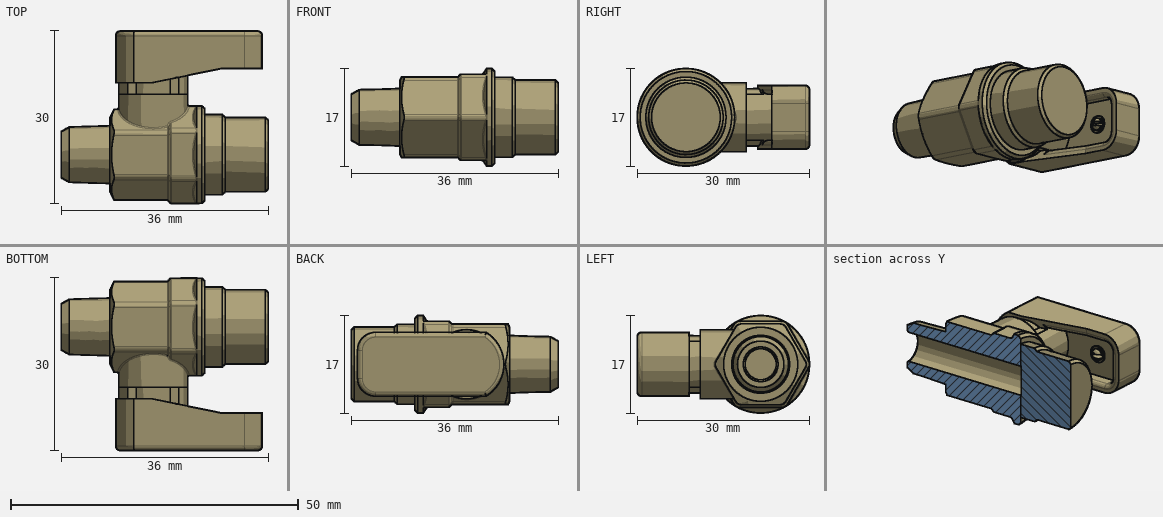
import cadquery as cq
import math


spigot_tip_radius = 4.05
spigot_tip_length = 1.4
spigot_front_radius = 4.82
spigot_back_radius = 5.05
bore_radius = 2.7
bore_chamfer = 0.32
casting_fillet = 0.25
tolerance = 0.007

hex_start = 8.45
small_hex_flats = 14.0
small_hex_face_radius = 6.45
small_hex_chamfer_length = 0.83
step_start = 18.5
large_hex_flats = 15.0
hex_edge_radius = 1.1
step_end = step_start + (large_hex_flats - small_hex_flats) / 2

flange_radius = 8.5
flange_cone_start = 22.55
flange_cone_radius = 7.0
flange_start = 23.5
flange_end = 25.0
flange_chamfer = 0.55

neck_x = 16.0
neck_radius = 6.0
neck_top = 10.5

connector_end = 36.0
collar_radius = 7.0
collar_end = 28.5
collar_chamfer = 0.55
thread_radius = 6.48
thread_chamfer = 0.5

handle_bottom = 12.45
handle_top = 21.5
grip_bottom = 14.95
ramp_start = 15.55
ramp_end = 27.8
handle_end = 34.92
handle_half_width = 5.55
handle_round_radius = 6.5
handle_corner_radius = 3.15
handle_top_fillet = 0.8
cavity_ceiling = 17.42
cavity_wall = 1.5
cavity_rim_fillet = 0.72
hub_radius = 6.0
hub_core_radius = 5.0
hub_half_flats = handle_half_width - cavity_wall

screw_x = 28.35
screw_recess_radius = 1.5
screw_recess_depth = 0.18
screw_seat_depth = 1.8
screw_radius = 1.08
screw_rim_drop = 0.18
screw_dome_height = 0.8
slot_width = 0.72
slot_depth = 1.8
slot_angle = 5.0


def revolve_about_x(points):
    """Solid of revolution about the flow axis from (x, radius) points."""
    return cq.Workplane("XY").polyline(points).close().revolve(360, (0, 0, 0), (1, 0, 0))


def around_x(x):
    """Selector for the edges of the hexagons that lie at one place along X."""
    return cq.selectors.BoxSelector(
        (x - tolerance, -flange_radius, -flange_radius),
        (x + tolerance, flange_radius, flange_radius),
    )


def plane_at_y(y, x=0.0):
    """Workplane normal to +Y; its local axes are +X and -Z."""
    return cq.Workplane(cq.Plane(origin=(x, y, 0), xDir=(1, 0, 0), normal=(0, 1, 0)))


def hex_bar(across_flats, start, end):
    """Hexagonal bar along X with rounded edges, two of its flats facing +Z and -Z."""
    return (
        cq.Workplane("YZ", origin=(start, 0, 0))
        .polygon(6, across_flats / math.cos(math.pi / 6))
        .extrude(end - start)
        .edges("|X")
        .fillet(hex_edge_radius)
    )


def make_hexes():
    """Small and large hexagons, joined by a sloping step."""
    small_corner = small_hex_flats / 2 / math.cos(math.pi / 6)
    small = hex_bar(small_hex_flats, hex_start, step_start)
    chamfer_envelope = revolve_about_x([
        (hex_start, 0),
        (hex_start, small_hex_face_radius),
        (hex_start + small_hex_chamfer_length, small_corner),
        (step_start, small_corner),
        (step_start, 0),
    ])
    large = hex_bar(large_hex_flats, step_end, flange_end - flange_chamfer)
    step = cq.Workplane(cq.Solid.makeLoft(
        [small.faces(">X").wires().val(), large.faces("<X").wires().val()], True
    ))
    hexes = small.intersect(chamfer_envelope).union(step).union(large)
    return hexes.edges(around_x(step_start) + around_x(step_end)).fillet(casting_fillet)


def is_flange_cone_edge(edge):
    """Whether an edge is a curve where the flange cone comes out of the large hexagon."""
    cone_front = flange_cone_start + tolerance
    cone_back = flange_start - tolerance
    middle_x = edge.positionAt(0.5).x
    return edge.geomType() != "LINE" and cone_front < middle_x < cone_back


def is_neck_base_edge(edge):
    """Whether an edge is a curve where the side of the neck meets the hexagons."""
    if edge.geomType() == "LINE":
        return False
    points = edge.positions([0, 0.5, 1])
    on_side = all(
        abs(math.hypot(point.x - neck_x, point.z) - neck_radius) < tolerance for point in points
    )
    return on_side and all(tolerance < point.y < neck_top - tolerance for point in points)


def make_body():
    """Spigot, hexagons, flange and neck in one piece, with a bore along the flow axis."""
    spigot = revolve_about_x([
        (0, 0),
        (0, spigot_tip_radius),
        (spigot_tip_length, spigot_front_radius),
        (hex_start, spigot_back_radius),
        (hex_start, 0),
    ])
    neck = plane_at_y(0, neck_x).circle(neck_radius).extrude(neck_top)
    flange = revolve_about_x([
        (flange_cone_start, 0),
        (flange_cone_start, flange_cone_radius),
        (flange_start, flange_radius),
        (flange_end - flange_chamfer, flange_radius),
        (flange_end, flange_radius - flange_chamfer),
        (flange_end, 0),
    ])
    bore = revolve_about_x([
        (0, 0),
        (0, bore_radius + bore_chamfer),
        (bore_chamfer, bore_radius),
        (flange_end, bore_radius),
        (flange_end, 0),
    ])
    barrel = make_hexes().union(flange)
    cone_edges = [edge for edge in barrel.edges().vals() if is_flange_cone_edge(edge)]
    barrel = barrel.newObject(cone_edges).fillet(casting_fillet)
    barrel = barrel.union(neck)
    neck_edges = [edge for edge in barrel.edges().vals() if is_neck_base_edge(edge)]
    barrel = barrel.newObject(neck_edges).fillet(casting_fillet)
    return barrel.union(spigot).cut(bore)


def make_connector():
    """Plain end connector that closes the flange end of the bore."""
    return revolve_about_x([
        (flange_end, 0),
        (flange_end, collar_radius),
        (collar_end - collar_chamfer, collar_radius),
        (collar_end, thread_radius),
        (connector_end - thread_chamfer, thread_radius),
        (connector_end, thread_radius - thread_chamfer),
        (connector_end, 0),
    ])


def make_handle_shell():
    """Solid outer form of the handle: an arc about the stem, a flat grip and a ramp below it."""
    arc_x = neck_x - math.sqrt(handle_round_radius**2 - handle_half_width**2)
    block = (
        plane_at_y(handle_bottom)
        .moveTo(arc_x, handle_half_width)
        .lineTo(handle_end, handle_half_width)
        .lineTo(handle_end, -handle_half_width)
        .lineTo(arc_x, -handle_half_width)
        .threePointArc((neck_x - handle_round_radius, 0), (arc_x, handle_half_width))
        .close()
        .extrude(handle_top - handle_bottom)
        .edges("|Y and >X")
        .fillet(handle_corner_radius)
        .faces(">Y")
        .edges()
        .fillet(handle_top_fillet)
    )
    below_ramp = (
        cq.Workplane("XY")
        .polyline([
            (ramp_start, handle_bottom),
            (ramp_end, grip_bottom),
            (handle_end, grip_bottom),
            (handle_end, handle_bottom),
        ])
        .close()
        .extrude(handle_half_width, both=True)
    )
    return block.cut(below_ramp)


def make_handle():
    """Handle with a hollow grip and a stem hub that has two lugs below it."""
    outer = make_handle_shell()
    cavity_end = handle_end - cavity_wall
    cavity = (
        plane_at_y(handle_bottom)
        .moveTo((neck_x + cavity_end) / 2, 0)
        .rect(cavity_end - neck_x, 2 * hub_half_flats)
        .extrude(cavity_ceiling - handle_bottom)
        .edges("|Y and >X")
        .fillet(handle_corner_radius - cavity_wall)
    )
    shell = outer.cut(cavity)
    rim_edges = cq.selectors.BoxSelector(
        (neck_x + hub_radius / 2, handle_bottom, -hub_half_flats - tolerance),
        (cavity_end + tolerance, grip_bottom + tolerance, hub_half_flats + tolerance),
    )
    shell = shell.edges(rim_edges).fillet(cavity_rim_fillet)
    hub = plane_at_y(handle_bottom, neck_x).circle(hub_radius).extrude(cavity_ceiling - handle_bottom)
    between_flats = cq.Workplane("XY", origin=(neck_x, handle_bottom, 0)).box(
        2 * hub_radius, handle_top, 2 * hub_half_flats
    )
    lugs = (
        plane_at_y(neck_top, neck_x)
        .circle(hub_radius)
        .extrude(cavity_ceiling - neck_top)
        .intersect(between_flats)
    )
    core = plane_at_y(neck_top, neck_x).circle(hub_core_radius).extrude(cavity_ceiling - neck_top)
    handle = shell.union(hub.intersect(outer)).union(lugs).union(core)
    recess = (
        plane_at_y(cavity_ceiling, screw_x).circle(screw_recess_radius).extrude(screw_recess_depth)
    )
    seat = plane_at_y(cavity_ceiling, screw_x).circle(screw_radius).extrude(screw_seat_depth)
    return handle.cut(recess).cut(seat)


def make_screw():
    """Screw seated in the handle, with a slotted dome pointing to -Y."""
    seat_y = cavity_ceiling + screw_seat_depth
    rim_y = cavity_ceiling - screw_rim_drop
    tip_y = rim_y - screw_dome_height
    dome_radius = (screw_radius**2 + screw_dome_height**2) / (2 * screw_dome_height)
    half_angle = math.asin(screw_radius / dome_radius) / 2
    dome_middle = (
        dome_radius * math.sin(half_angle),
        tip_y + dome_radius * (1 - math.cos(half_angle)),
    )
    blank = (
        cq.Workplane("XY", origin=(screw_x, 0, 0))
        .moveTo(0, tip_y)
        .threePointArc(dome_middle, (screw_radius, rim_y))
        .lineTo(screw_radius, seat_y)
        .lineTo(0, seat_y)
        .close()
        .revolve(360, (0, 0, 0), (0, 1, 0))
    )
    slot = (
        plane_at_y(tip_y, screw_x)
        .transformed(rotate=(0, 0, slot_angle))
        .rect(3 * screw_radius, slot_width)
        .extrude(slot_depth)
    )
    return blank.cut(slot)


body = make_body()
connector = make_connector()
handle = make_handle()
screw = make_screw()
result = cq.Compound.makeCompound([body.val(), connector.val(), handle.val(), screw.val()])